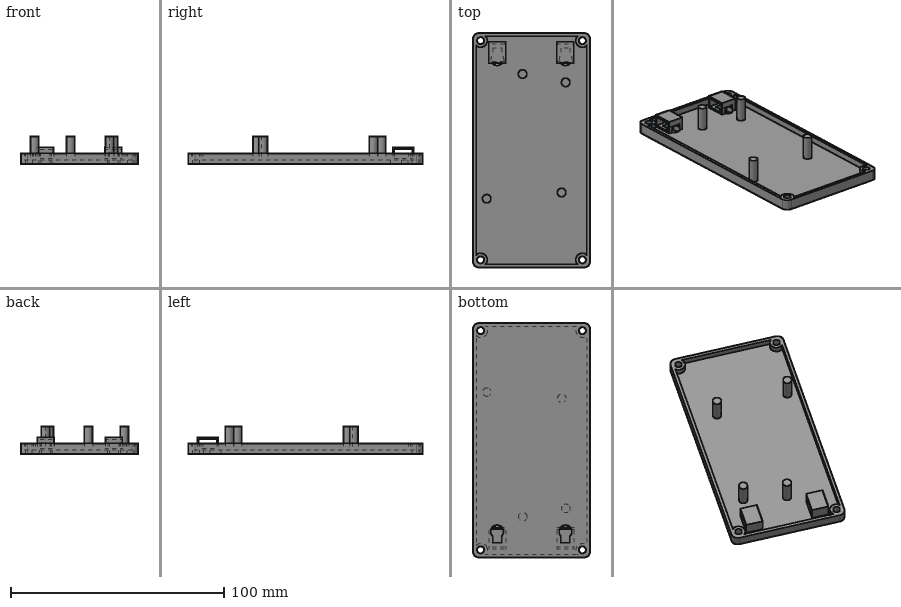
import cadquery as cq

tray_width = 55.0
tray_length = 110.0
tray_height = 5.0
corner_radius = 3.0
wall = 1.5
floor = 2.0

screw_hole_diameter = 3.2
boss_diameter = screw_hole_diameter + 2 * wall
boss_inset = 3.65
boss_x = tray_width / 2 - boss_inset
boss_y = tray_length / 2 - boss_inset
boss_centres = [(side * boss_x, end * boss_y) for side in (-1, 1) for end in (-1, 1)]

post_diameter = 4.0
post_top = 13.0
post_centres = [(-4.2, 35.7), (16.0, 31.8), (14.1, -19.8), (-21.0, -22.7)]

hanger_centres_x = (-16.1, 15.9)
hanger_width = 8.0
hanger_length = 10.0
hanger_top = 8.0
hanger_front_y = 40.8
hanger_centre_y = hanger_front_y + hanger_length / 2
hanger_end_wall = 0.8
hanger_roof = 1.0
hanger_sill = 0.8
sill_top = floor + hanger_sill

entry_diameter = 6.0
entry_y = hanger_front_y + 2.0
entry_top = 5.0
slot_width = 4.2
slot_end_y = hanger_front_y + 7.2


def block(width, length, bottom, top, x=0.0, y=0.0):
    """Box centred on (x, y) between two heights."""
    base = cq.Workplane("XY", origin=(x, y, bottom))
    return base.rect(width, length).extrude(top - bottom)


def cylinders(diameter, bottom, top, centres):
    """Upright cylinders at the given centres between two heights."""
    base = cq.Workplane("XY", origin=(0, 0, bottom))
    return base.pushPoints(centres).circle(diameter / 2).extrude(top - bottom)


def make_tray():
    """Tray with rounded outer corners and a square-cornered cavity."""
    outside = block(tray_width, tray_length, 0, tray_height).edges("|Z").fillet(corner_radius)
    cavity = block(tray_width - 2 * wall, tray_length - 2 * wall, floor, tray_height)
    return outside.cut(cavity)


def make_hanger(x):
    """Housing with a passage running through it along X."""
    housing = block(hanger_width, hanger_length, floor, hanger_top, x, hanger_centre_y)
    passage_length = hanger_length - 2 * hanger_end_wall
    passage_top = hanger_top - hanger_roof
    passage = block(hanger_width, passage_length, sill_top, passage_top, x, hanger_centre_y)
    return housing.cut(passage)


def make_keyhole(x):
    """Cutter for the round entry and the slot leading from it toward +Y."""
    entry = cylinders(entry_diameter, 0, entry_top, [(x, entry_y)])
    slot_length = slot_end_y - entry_y
    slot = block(slot_width, slot_length, 0, sill_top, x, entry_y + slot_length / 2)
    return entry.union(slot)


result = make_tray()
result = result.union(cylinders(boss_diameter, 0, tray_height, boss_centres))
result = result.cut(cylinders(screw_hole_diameter, 0, tray_height, boss_centres))
result = result.union(cylinders(post_diameter, 0, post_top, post_centres))
for hanger_x in hanger_centres_x:
    result = result.union(make_hanger(hanger_x))
    result = result.cut(make_keyhole(hanger_x))